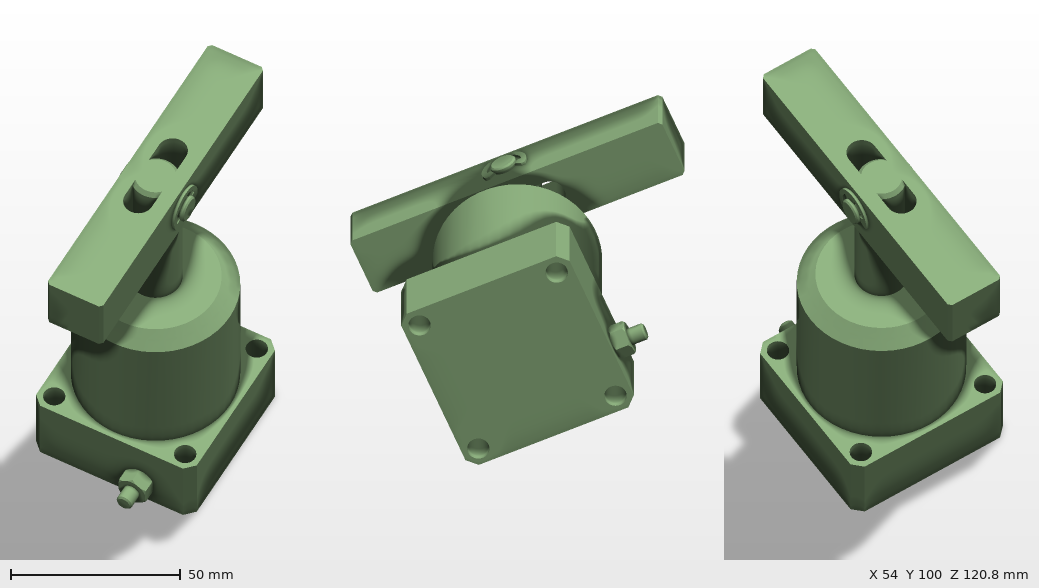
import cadquery as cq
import math

BASE_WIDTH = 54
BASE_HEIGHT = 23
BASE_CORNER_CHAMFER = 3
MOUNT_HOLE_DIAMETER = 6.6
MOUNT_HOLE_PITCH = 44
CYLINDER_DIAMETER = 50
CYLINDER_TOP_Z = 71
CYLINDER_BEVEL_WIDTH = 5.5
CYLINDER_BEVEL_HEIGHT = 4

FITTING_X = 9.5
FITTING_Z = 8
FITTING_PLUG_DIAMETER = 11.5
FITTING_PLUG_DEPTH = 10
NUT_ACROSS_FLATS = 9
NUT_HEIGHT = 5
NUT_CHAMFER = 0.6
NEEDLE_DIAMETER = 5.1
NEEDLE_REACH = 10
NEEDLE_CHAMFER = 0.5

ARM_LENGTH = 100
ARM_SECTION = 18.6
ARM_TOP_Z = 120.8
ARM_EDGE_CHAMFER = 1
ARM_SLOT_LENGTH = 30
ARM_SLOT_WIDTH = 9
ARM_MIDDLE_Z = ARM_TOP_Z - ARM_SECTION / 2

ROD_DIAMETER = 16
ROD_BOTTOM_Z = BASE_HEIGHT
ROD_SHOULDER_Z = 101.2
ROD_SHOULDER_CHAMFER_HEIGHT = 1
TONGUE_DIAMETER = 14.5
TONGUE_THICKNESS = ARM_SLOT_WIDTH
TONGUE_TOP_Z = ARM_TOP_Z
TONGUE_CHAMFER = 1.2

PIN_DIAMETER = 8
PIN_LENGTH = 23
PIN_CHAMFER = 0.5
GROOVE_DIAMETER = 7
CLIP_THICKNESS = 0.9
CLIP_RADIUS = 7.15
CLIP_RELIEF_RADIUS = 5.5
CLIP_RELIEF_START = 28
CLIP_RELIEF_END = 92
CLIP_LEG_END = 3.5
CLIP_MOUTH_HALF_WIDTH = 5.1
CLIP_TILT_LEFT = -6
CLIP_TILT_RIGHT = 20


def cylinder_along_x(diameter, length):
    """Cylinder centred on the pivot axis and on the X = 0 plane."""
    return (
        cq.Workplane("YZ", origin=(-length / 2, 0, ARM_MIDDLE_Z))
        .circle(diameter / 2)
        .extrude(length)
    )


def polar(radius, degrees):
    """Point at an angle measured counter-clockwise from the local +Y direction."""
    angle = math.radians(degrees)
    return (-radius * math.sin(angle), radius * math.cos(angle))


def make_housing():
    base = (
        cq.Workplane("XY")
        .box(BASE_WIDTH, BASE_WIDTH, BASE_HEIGHT, centered=(True, True, False))
        .edges("|Z")
        .chamfer(BASE_CORNER_CHAMFER)
        .faces(">Z")
        .workplane()
        .rect(MOUNT_HOLE_PITCH, MOUNT_HOLE_PITCH, forConstruction=True)
        .vertices()
        .hole(MOUNT_HOLE_DIAMETER)
    )
    cylinder = (
        cq.Workplane("XY", origin=(0, 0, BASE_HEIGHT))
        .circle(CYLINDER_DIAMETER / 2)
        .extrude(CYLINDER_TOP_Z - BASE_HEIGHT)
        .faces(">Z")
        .edges()
        .chamfer(CYLINDER_BEVEL_HEIGHT, CYLINDER_BEVEL_WIDTH)
    )
    rod_bore = (
        cq.Workplane("XY", origin=(0, 0, ROD_BOTTOM_Z))
        .circle(ROD_DIAMETER / 2)
        .extrude(CYLINDER_TOP_Z - ROD_BOTTOM_Z)
    )
    return base.union(cylinder).cut(rod_bore).cut(make_fitting_plug())


def fitting_plane():
    """Plane on the front face of the base, pointing outwards along -Y."""
    return cq.Workplane("XZ", origin=(FITTING_X, -BASE_WIDTH / 2, FITTING_Z))


def make_fitting_plug():
    return fitting_plane().circle(FITTING_PLUG_DIAMETER / 2).extrude(-FITTING_PLUG_DEPTH)


def make_fitting():
    corner_radius = NUT_ACROSS_FLATS / math.sqrt(3)
    hexagon = (
        fitting_plane()
        .transformed(rotate=(0, 0, 90))
        .polygon(6, 2 * corner_radius)
        .extrude(NUT_HEIGHT)
    )
    round_blank = (
        fitting_plane()
        .circle(corner_radius)
        .extrude(NUT_HEIGHT)
        .edges()
        .chamfer(NUT_CHAMFER)
    )
    needle = (
        fitting_plane()
        .circle(NEEDLE_DIAMETER / 2)
        .extrude(NEEDLE_REACH)
        .faces("<Y")
        .edges()
        .chamfer(NEEDLE_CHAMFER)
    )
    return make_fitting_plug().union(hexagon.intersect(round_blank)).union(needle)


def make_arm():
    arm = (
        cq.Workplane("XY", origin=(0, 0, ARM_MIDDLE_Z))
        .box(ARM_SECTION, ARM_LENGTH, ARM_SECTION)
        .edges("|Z")
        .chamfer(ARM_EDGE_CHAMFER)
        .faces(">Z")
        .workplane()
        .slot2D(ARM_SLOT_LENGTH, ARM_SLOT_WIDTH, 90)
        .cutThruAll()
    )
    return arm.cut(cylinder_along_x(PIN_DIAMETER, ARM_SECTION))


def make_rod():
    shaft = (
        cq.Workplane("XY", origin=(0, 0, ROD_BOTTOM_Z))
        .circle(ROD_DIAMETER / 2)
        .extrude(ROD_SHOULDER_Z - ROD_BOTTOM_Z)
        .faces(">Z")
        .edges()
        .chamfer(ROD_SHOULDER_CHAMFER_HEIGHT, (ROD_DIAMETER - TONGUE_DIAMETER) / 2)
    )
    tongue_height = TONGUE_TOP_Z - ROD_SHOULDER_Z
    tongue_blank = (
        cq.Workplane("XY", origin=(0, 0, ROD_SHOULDER_Z))
        .circle(TONGUE_DIAMETER / 2)
        .extrude(tongue_height)
        .faces(">Z")
        .edges()
        .chamfer(TONGUE_CHAMFER)
    )
    flats = cq.Workplane("XY", origin=(0, 0, ROD_SHOULDER_Z)).box(
        TONGUE_THICKNESS, TONGUE_DIAMETER, tongue_height, centered=(True, True, False)
    )
    rod = shaft.union(tongue_blank.intersect(flats))
    return rod.cut(cylinder_along_x(PIN_DIAMETER, TONGUE_THICKNESS))


def make_pin():
    pin = cylinder_along_x(PIN_DIAMETER, PIN_LENGTH).faces("<X or >X").edges().chamfer(PIN_CHAMFER)
    groove_span = ARM_SECTION + 2 * CLIP_THICKNESS
    grooves = cylinder_along_x(PIN_DIAMETER, groove_span)
    grooves = grooves.cut(cylinder_along_x(PIN_DIAMETER, ARM_SECTION))
    grooves = grooves.cut(cylinder_along_x(GROOVE_DIAMETER, groove_span))
    return pin.cut(grooves)


def make_clip(low_x, tilt):
    """E-clip whose low-X face lies at low_x, mouth downwards, then tilted about the pin."""
    plane = cq.Workplane("YZ", origin=(low_x, 0, ARM_MIDDLE_Z))
    clip = plane.circle(CLIP_RADIUS).circle(GROOVE_DIAMETER / 2).extrude(CLIP_THICKNESS)

    flare_apex = CLIP_MOUTH_HALF_WIDTH - CLIP_LEG_END
    mouth = (
        plane.moveTo(0, flare_apex)
        .lineTo(CLIP_MOUTH_HALF_WIDTH, -CLIP_LEG_END)
        .lineTo(CLIP_RADIUS, -CLIP_LEG_END)
        .lineTo(CLIP_RADIUS, -CLIP_RADIUS)
        .lineTo(-CLIP_RADIUS, -CLIP_RADIUS)
        .lineTo(-CLIP_RADIUS, -CLIP_LEG_END)
        .lineTo(-CLIP_MOUTH_HALF_WIDTH, -CLIP_LEG_END)
        .close()
        .extrude(CLIP_THICKNESS)
    )
    clip = clip.cut(mouth)

    relief_middle = (CLIP_RELIEF_START + CLIP_RELIEF_END) / 2
    for side in (-1, 1):
        relief = (
            plane.moveTo(0, 0)
            .lineTo(*polar(CLIP_RELIEF_RADIUS, side * CLIP_RELIEF_START))
            .threePointArc(
                polar(CLIP_RELIEF_RADIUS, side * relief_middle),
                polar(CLIP_RELIEF_RADIUS, side * CLIP_RELIEF_END),
            )
            .close()
            .extrude(CLIP_THICKNESS)
        )
        clip = clip.cut(relief)
    return clip.rotate((0, 0, ARM_MIDDLE_Z), (1, 0, ARM_MIDDLE_Z), tilt)


housing = make_housing()
fitting = make_fitting()
rod = make_rod()
arm = make_arm()
pin = make_pin()
clips = [
    make_clip(low_x, tilt)
    for low_x, tilt in (
        (-ARM_SECTION / 2 - CLIP_THICKNESS, CLIP_TILT_LEFT),
        (ARM_SECTION / 2, CLIP_TILT_RIGHT),
    )
]

result = cq.Compound.makeCompound(
    [housing.val(), fitting.val(), rod.val(), arm.val(), pin.val(), *[clip.val() for clip in clips]]
)